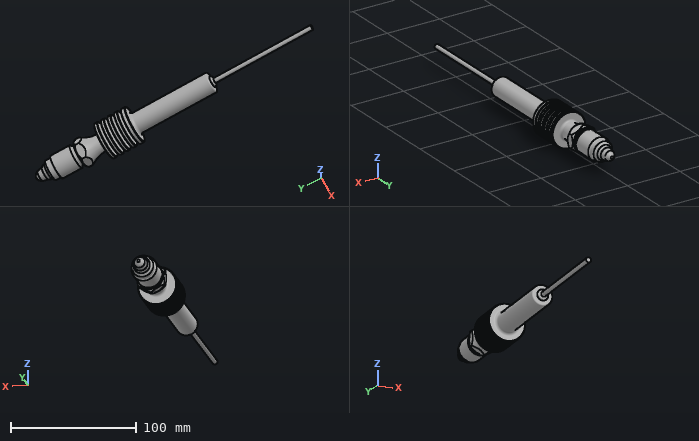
import cadquery as cq
import math

LENGTH = 255.06

NOSE_FLAT_RADIUS = 1.15
NOSE_SHOULDER_RADIUS = 9.1 / 2
NOSE_SHOULDER_DEPTH = 3.4
NOSE_BULGE = 0.45
NOSE_CONE_RADIUS = 11.2 / 2
NOSE_CONE_DEPTH = 8.0
FLARE_START_RADIUS = 11.0 / 2
FLARE_END_DEPTH = 13.3

COLLAR_RADIUS = 18.0 / 2
SLEEVE_RADIUS = 20.95 / 2
SLEEVE_START_DEPTH = 18.8
SLEEVE_END_DEPTH = 36.6
SLEEVE_FILLET = SLEEVE_RADIUS - COLLAR_RADIUS

HEX_ACROSS_FLATS = 22.0
HEX_START_DEPTH = 40.1
HEX_CHAMFER_RADIUS = 10.5
NECK_RADIUS = 15.3 / 2
NECK_FLARE_RADIUS = 24.0
NECK_FILLET = 2.2

FIN_COUNT = 5
FIN_RADIUS = 32.0 / 2
FIN_PITCH = 6.15
FIN_THICKNESS = 3.4
LAST_FIN_THICKNESS = 4.2
FIN_CHAMFER = 0.5
FIN_ROOT_RADIUS = 12.0 / 2
FIN_START_DEPTH = 62.5

HANDLE_RADIUS = 18.0 / 2
HANDLE_START_FILLET = 2.6
HANDLE_END_DEPTH = 162.7
HANDLE_END_FILLET = 1.25
BOSS_RADIUS = 9.3 / 2
BOSS_LENGTH = 2.2
BOSS_FACE_RADIUS = 6.2 / 2
ROD_RADIUS = 4.53 / 2

COS_45 = math.sqrt(0.5)
HEX_SIDES = 6

NECK_DEPTH = FIN_START_DEPTH - NECK_FILLET
HEX_CORNER_RADIUS = HEX_ACROSS_FLATS / math.sqrt(3)
FINS_END_DEPTH = FIN_START_DEPTH + (FIN_COUNT - 1) * FIN_PITCH + LAST_FIN_THICKNESS
FIN_GAP = FIN_PITCH - FIN_THICKNESS
BOSS_FILLET = BOSS_RADIUS - BOSS_FACE_RADIUS


def revolve(profile):
    """Turn a closed (radius, Y) outline about the Y axis."""
    return profile.close().revolve(360, (0, 0, 0), (0, 1, 0))


def start(depth):
    """Begin a (radius, Y) outline on the axis."""
    return cq.Workplane("XY").moveTo(0, -depth)


def nose_and_sleeve():
    """Pointed nose, conical flare and the sleeve between two concave fillets."""
    flare_run = FLARE_END_DEPTH - NOSE_CONE_DEPTH
    flare_rise = COLLAR_RADIUS - FLARE_START_RADIUS
    flare_arc = (flare_run - flare_rise) / math.tan(math.pi / 8)
    arc_end_radius = FLARE_START_RADIUS + flare_arc * (1 - COS_45)
    arc_end_depth = NOSE_CONE_DEPTH + flare_arc * COS_45
    inset = SLEEVE_FILLET * (1 - COS_45)
    outline = (
        start(0)
        .lineTo(NOSE_FLAT_RADIUS, 0)
        .sagittaArc((NOSE_SHOULDER_RADIUS, -NOSE_SHOULDER_DEPTH), NOSE_BULGE)
        .lineTo(NOSE_CONE_RADIUS, -NOSE_CONE_DEPTH)
        .lineTo(FLARE_START_RADIUS, -NOSE_CONE_DEPTH)
        .radiusArc((arc_end_radius, -arc_end_depth), flare_arc)
        .lineTo(COLLAR_RADIUS, -FLARE_END_DEPTH)
        .lineTo(COLLAR_RADIUS, SLEEVE_FILLET - SLEEVE_START_DEPTH)
        .threePointArc(
            (COLLAR_RADIUS + inset, inset - SLEEVE_START_DEPTH),
            (SLEEVE_RADIUS, -SLEEVE_START_DEPTH),
        )
        .lineTo(SLEEVE_RADIUS, -SLEEVE_END_DEPTH)
        .threePointArc(
            (COLLAR_RADIUS + inset, -SLEEVE_END_DEPTH - inset),
            (COLLAR_RADIUS, -SLEEVE_END_DEPTH - SLEEVE_FILLET),
        )
        .lineTo(COLLAR_RADIUS, -HEX_START_DEPTH)
        .lineTo(0, -HEX_START_DEPTH)
    )
    return revolve(outline)


def flare_radius(depth):
    """Radius of the concave neck flare, which runs into the neck smoothly."""
    run = NECK_DEPTH - depth
    return NECK_RADIUS + NECK_FLARE_RADIUS - math.sqrt(NECK_FLARE_RADIUS**2 - run**2)


def hex_and_neck():
    """Hexagonal prism trimmed by a chamfer cone and by the neck flare."""
    drop = NECK_FLARE_RADIUS + NECK_RADIUS - HEX_CORNER_RADIUS
    flare_start = NECK_DEPTH - math.sqrt(NECK_FLARE_RADIUS**2 - drop**2)
    flare_mid = (flare_start + NECK_DEPTH) / 2
    fillet_inset = NECK_FILLET * (1 - COS_45)
    chamfer = HEX_CORNER_RADIUS - HEX_CHAMFER_RADIUS
    outline = (
        start(HEX_START_DEPTH)
        .lineTo(HEX_CHAMFER_RADIUS, -HEX_START_DEPTH)
        .lineTo(HEX_CORNER_RADIUS, -HEX_START_DEPTH - chamfer)
        .lineTo(HEX_CORNER_RADIUS, -flare_start)
        .threePointArc((flare_radius(flare_mid), -flare_mid), (NECK_RADIUS, -NECK_DEPTH))
        .threePointArc(
            (NECK_RADIUS + fillet_inset, fillet_inset - FIN_START_DEPTH),
            (NECK_RADIUS + NECK_FILLET, -FIN_START_DEPTH),
        )
        .lineTo(0, -FIN_START_DEPTH)
    )
    prism = (
        cq.Workplane("XZ", origin=(0, -HEX_START_DEPTH, 0))
        .polygon(HEX_SIDES, 2 * HEX_CORNER_RADIUS)
        .extrude(FIN_START_DEPTH - HEX_START_DEPTH)
        .rotate((0, 0, 0), (0, 1, 0), 180 / HEX_SIDES)
    )
    return revolve(outline).intersect(prism)


def cylinder(radius, depth, length):
    """Plain cylinder that runs from the given depth towards the rod."""
    return cq.Workplane("XZ", origin=(0, -depth, 0)).circle(radius).extrude(length)


def fin(index):
    """One disc with chamfered rims; the last one is thicker."""
    thickness = LAST_FIN_THICKNESS if index == FIN_COUNT - 1 else FIN_THICKNESS
    disc = cylinder(FIN_RADIUS, FIN_START_DEPTH + index * FIN_PITCH, thickness)
    return disc.edges().chamfer(FIN_CHAMFER)


def fin_core(depth):
    """Core between two fins, waisted by a full-round groove."""
    groove_round = FIN_GAP / 2
    outline = (
        start(depth)
        .lineTo(FIN_ROOT_RADIUS + groove_round, -depth)
        .threePointArc(
            (FIN_ROOT_RADIUS, -depth - groove_round),
            (FIN_ROOT_RADIUS + groove_round, -depth - FIN_GAP),
        )
        .lineTo(0, -depth - FIN_GAP)
    )
    return revolve(outline)


def fins():
    """Row of discs joined by waisted cores."""
    stack = fin(0)
    for index in range(1, FIN_COUNT):
        fin_depth = FIN_START_DEPTH + index * FIN_PITCH
        stack = stack.union(fin_core(fin_depth - FIN_GAP)).union(fin(index))
    return stack


def handle():
    """Plain grip with a concave fillet at the last fin and a rounded far end."""
    length = HANDLE_END_DEPTH - FINS_END_DEPTH
    grip = cylinder(HANDLE_RADIUS, FINS_END_DEPTH, length)
    grip = grip.faces("<Y").edges().fillet(HANDLE_END_FILLET)
    fillet_inset = HANDLE_START_FILLET * (1 - COS_45)
    fillet_end = FINS_END_DEPTH + HANDLE_START_FILLET
    root = (
        start(FINS_END_DEPTH)
        .lineTo(HANDLE_RADIUS + HANDLE_START_FILLET, -FINS_END_DEPTH)
        .threePointArc(
            (HANDLE_RADIUS + fillet_inset, -FINS_END_DEPTH - fillet_inset),
            (HANDLE_RADIUS, -fillet_end),
        )
        .lineTo(0, -fillet_end)
    )
    return grip.union(revolve(root))


def boss_and_rod():
    """Short rounded boss with the thin rod through it."""
    boss = cylinder(BOSS_RADIUS, HANDLE_END_DEPTH, BOSS_LENGTH)
    boss = boss.faces("<Y").edges().fillet(BOSS_FILLET)
    rod = cylinder(ROD_RADIUS, HANDLE_END_DEPTH, LENGTH - HANDLE_END_DEPTH)
    return boss.union(rod)


result = nose_and_sleeve().union(hex_and_neck()).union(fins()).union(handle()).union(boss_and_rod())